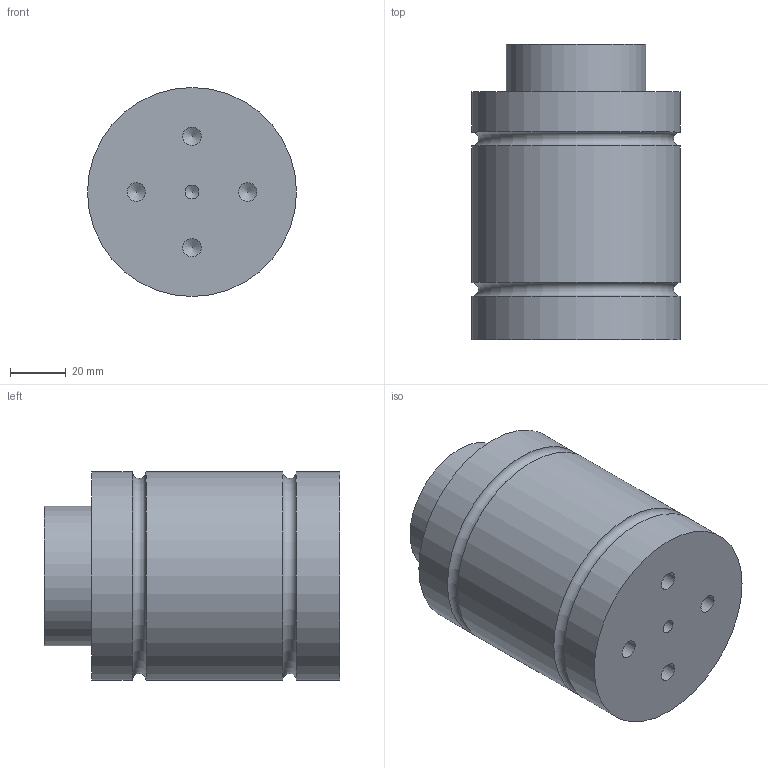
import cadquery as cq

body_diameter = 75.0
body_length = 89.0
boss_diameter = 50.0
boss_length = 17.0

groove_radius = 2.5
groove_positions = (18.0, 72.0)

outer_hole_diameter = 6.65
outer_hole_depth = 16.0
outer_hole_count = 4
bolt_circle_diameter = 40.0
center_hole_diameter = 5.0
center_hole_depth = 12.0
drill_tip_length_ratio = 0.3

body_radius = body_diameter / 2
total_length = body_length + boss_length


def turned_body():
    """Revolve the stepped, grooved outline about the Y axis."""
    outline = cq.Workplane("XY").lineTo(body_radius, 0)
    for position in groove_positions:
        outline = outline.lineTo(body_radius, position - groove_radius)
        outline = outline.threePointArc(
            (body_radius - groove_radius, position),
            (body_radius, position + groove_radius),
        )
    outline = (
        outline.lineTo(body_radius, body_length)
        .lineTo(boss_diameter / 2, body_length)
        .lineTo(boss_diameter / 2, total_length)
        .lineTo(0, total_length)
        .close()
    )
    return outline.revolve(360, (0, 0, 0), (0, 1, 0))


def drilled_hole(diameter, depth):
    """Cutter for a hole on the Y axis: straight to the given depth, then a conical tip."""
    tip_depth = depth + drill_tip_length_ratio * diameter
    return (
        cq.Workplane("XY")
        .lineTo(diameter / 2, 0)
        .lineTo(diameter / 2, depth)
        .lineTo(0, tip_depth)
        .close()
        .revolve(360, (0, 0, 0), (0, 1, 0))
    )


def outer_holes():
    """Cutters for the outer holes, evenly spaced on the bolt circle."""
    first_hole = drilled_hole(outer_hole_diameter, outer_hole_depth).translate(
        (bolt_circle_diameter / 2, 0, 0)
    )
    cutters = cq.Workplane("XY")
    for index in range(outer_hole_count):
        angle = index * 360 / outer_hole_count
        cutters = cutters.add(first_hole.rotate((0, 0, 0), (0, 1, 0), angle))
    return cutters.combine()


result = turned_body().cut(outer_holes()).cut(drilled_hole(center_hole_diameter, center_hole_depth))